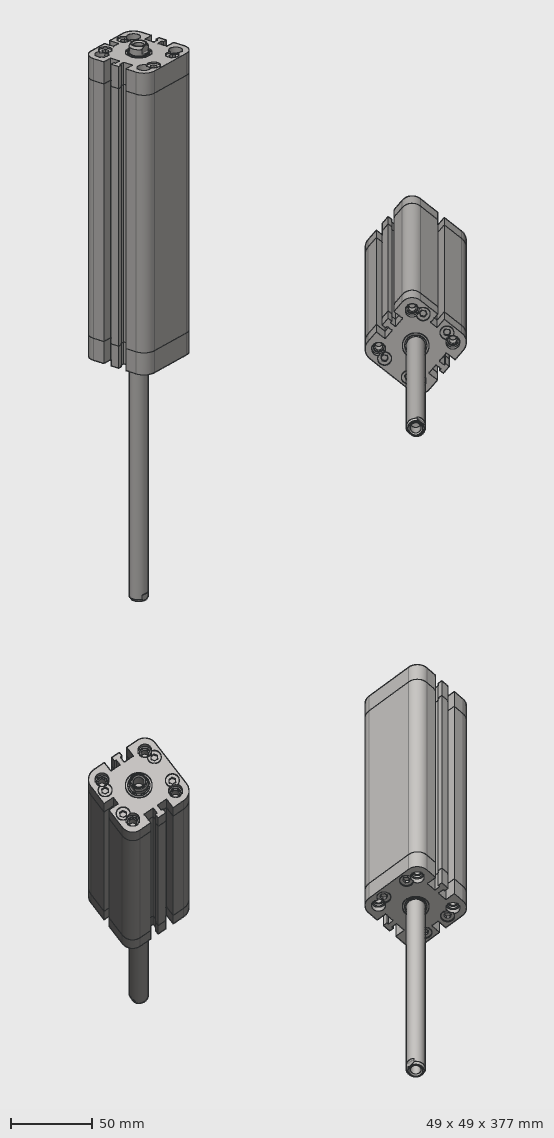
import cadquery as cq

housing_length = 205.0
cap_length = 15.0
rod_top_reach = 6.0
rod_bottom_reach = 166.0

housing_width = 49.0
half_width = housing_width / 2
corner_radius = 8.0
bore_diameter = 32.0
groove_depth = 7.0
rail_groove_width = 17.0
rail_head_width = 5.8
rail_head_depth = 3.0
rail_stem_width = 3.2
sensor_slot_width = 5.2

mount_pitch = 32.5
mount_mouth_diameter = 8.57
mount_mouth_depth = 4.0
mount_step_diameter = 6.65
mount_step_depth = 6.0
mount_hole_diameter = 4.92
mount_hole_depth = 13.0

screw_offset_x = 18.7
screw_offset_y = 9.5
screw_pocket_diameter = 8.57
screw_pocket_depth = 1.0
screw_socket_corner_width = 4.6
screw_socket_depth = 3.0

ring_outer_diameter = 16.5
ring_inner_diameter = 13.7
ring_depth = 1.0

rod_diameter = 12.0
rod_chamfer_width = 1.0
rod_chamfer_length = 1.7
flat_spacing = 10.0
flat_length = 5.0
flat_end_radius = 0.8
thread_diameter = 6.65
thread_mouth_diameter = 8.57
thread_mouth_angle = 90.0
thread_depth = 12.0


def groove_bar(width, depth, length):
    """Bar centred on X that reaches inward from the -Y face of the housing."""
    bar = cq.Workplane("XY").box(width, depth, length, centered=(True, False, False))
    return bar.translate((0, -half_width, 0))


def rail_groove(length):
    """Cutter for the -Y groove that leaves a T-shaped rail standing in its middle."""
    groove = groove_bar(rail_groove_width, groove_depth, length)
    stem = groove_bar(rail_stem_width, groove_depth, length)
    head = groove_bar(rail_head_width, rail_head_depth, length)
    return groove.cut(stem).cut(head)


def housing_section(length):
    """Rounded square bar with railed grooves on -Y and +Y and a plain slot on -X."""
    bar = cq.Workplane("XY").rect(housing_width, housing_width).extrude(length)
    bar = bar.edges("|Z").fillet(corner_radius)
    groove = rail_groove(length)
    slot = groove_bar(sensor_slot_width, groove_depth, length).rotate((0, 0, 0), (0, 0, 1), -90)
    return bar.cut(groove).cut(groove.mirror("XZ")).cut(slot)


def four_points(x, y):
    """Points mirrored into all four quadrants."""
    return [(x_side * x, y_side * y) for x_side in (-1, 1) for y_side in (-1, 1)]


def cap_face(points):
    """Workplane on the outer face of a cap, with the given points selected."""
    return cq.Workplane("XY").workplane(offset=cap_length).pushPoints(points)


def mount_holes():
    """Cutters for the stepped mounting holes."""
    face = cap_face(four_points(mount_pitch / 2, mount_pitch / 2))
    mouth = face.circle(mount_mouth_diameter / 2).extrude(-mount_mouth_depth)
    step = face.circle(mount_step_diameter / 2).extrude(-mount_step_depth)
    hole = face.circle(mount_hole_diameter / 2).extrude(-mount_hole_depth)
    return mouth.union(step).union(hole)


def screw_pockets():
    """Cutters for the shallow screw pockets and their hexagonal sockets."""
    face = cap_face(four_points(screw_offset_x, screw_offset_y))
    pocket = face.circle(screw_pocket_diameter / 2).extrude(-screw_pocket_depth)
    socket = face.polygon(6, screw_socket_corner_width).extrude(-screw_socket_depth)
    return pocket.union(socket)


def rod_opening():
    """Cutter for the rod bore and the ring groove around it."""
    face = cap_face([(0, 0)])
    bore = face.circle(rod_diameter / 2).extrude(-cap_length)
    ring = face.circle(ring_outer_diameter / 2).circle(ring_inner_diameter / 2).extrude(-ring_depth)
    return bore.union(ring)


def make_cap():
    """End cap with its inner face at Z = 0 and its outer face at Z = cap_length."""
    cap = housing_section(cap_length)
    return cap.cut(mount_holes()).cut(screw_pockets()).cut(rod_opening())


def make_barrel():
    """Extruded barrel between the caps, with the piston bore through it."""
    barrel_length = housing_length - 2 * cap_length
    barrel = housing_section(barrel_length)
    bore = cq.Workplane("XY").circle(bore_diameter / 2).extrude(barrel_length)
    return barrel.cut(bore).translate((0, 0, cap_length))


def rod_flats():
    """Cutters for the two wrench flats below a rod tip at Z = 0, rounded where they run out."""
    half_spacing = flat_spacing / 2
    side = (
        cq.Workplane("XZ")
        .moveTo(half_spacing, 0)
        .lineTo(half_spacing, flat_end_radius - flat_length)
        .radiusArc((half_spacing + flat_end_radius, -flat_length), -flat_end_radius)
        .lineTo(rod_diameter, -flat_length)
        .lineTo(rod_diameter, 0)
        .close()
        .extrude(rod_diameter, both=True)
    )
    return side.union(side.mirror("YZ"))


def make_rod():
    """Rod through the whole cylinder, with a chamfer, flats and a threaded hole at each end."""
    length = rod_top_reach + housing_length + rod_bottom_reach
    rod = cq.Workplane("XY").circle(rod_diameter / 2).extrude(length)
    rod = rod.faces("<Z or >Z").chamfer(rod_chamfer_length, rod_chamfer_width)
    flats = rod_flats()
    rod = rod.cut(flats.translate((0, 0, length))).cut(flats.mirror("XY"))
    for end in ("<Z", ">Z"):
        rod = rod.faces(end).workplane(centerOption="CenterOfBoundBox").cskHole(
            thread_diameter, thread_mouth_diameter, thread_mouth_angle, thread_depth)
    return rod.translate((0, 0, -rod_bottom_reach))


cap = make_cap()
top_cap = cap.translate((0, 0, housing_length - cap_length))
bottom_cap = cap.mirror("XY").translate((0, 0, cap_length))
barrel = make_barrel()
rod = make_rod()

bodies = [barrel, top_cap, bottom_cap, rod]
result = cq.Compound.makeCompound([body.solids().val() for body in bodies])